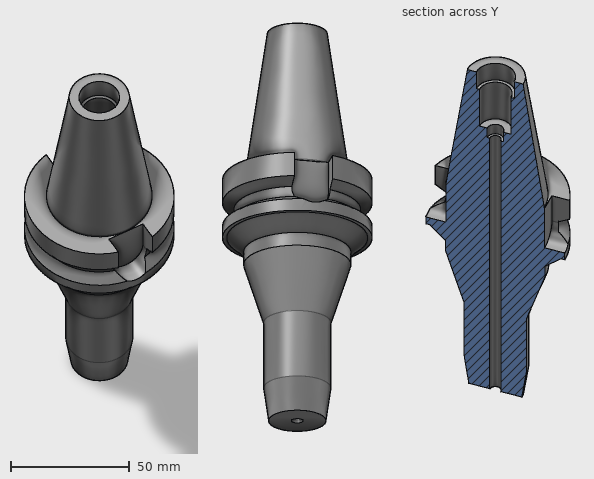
import cadquery as cq

TOTAL_LENGTH = 175.1
NOSE_TAPER_TOP = 14.7
SHANK_TOP = 44.3
CONE_TOP = 70.5
COLLAR_TOP = 76.3
FLANGE_BOTTOM = 82.8
LOWER_RIM_TOP = 88.0
GROOVE_BOTTOM = 91.0
GROOVE_TOP = 95.6
UPPER_RIM_BOTTOM = 98.5
FLANGE_TOP = 109.0
TAPER_BOTTOM = 109.8

NOSE_TIP_DIAMETER = 24.2
SHANK_DIAMETER = 28.4
COLLAR_DIAMETER = 45.2
FLANGE_CONE_DIAMETER = 59.4
FLANGE_DIAMETER = 63
GROOVE_DIAMETER = 53.4
TAPER_BASE_DIAMETER = 44.5
TAPER_TOP_DIAMETER = 25.4

SLOT_WIDTH = 16.5
SLOT_FLOOR_OFFSET = 22.5
SLOT_BOTTOM = 86.8

BORE_STEPS = [(17.0, 9.3), (14.2, 29.8), (7.2, 35.0)]
THROUGH_DIAMETER = 4.9


def make_body():
    """Revolve the outer profile, listed from the nose to the taper end."""
    sections = [
        (NOSE_TIP_DIAMETER, 0),
        (SHANK_DIAMETER, NOSE_TAPER_TOP),
        (SHANK_DIAMETER, SHANK_TOP),
        (COLLAR_DIAMETER, CONE_TOP),
        (COLLAR_DIAMETER, COLLAR_TOP),
        (FLANGE_CONE_DIAMETER, FLANGE_BOTTOM),
        (FLANGE_DIAMETER, FLANGE_BOTTOM),
        (FLANGE_DIAMETER, LOWER_RIM_TOP),
        (GROOVE_DIAMETER, GROOVE_BOTTOM),
        (GROOVE_DIAMETER, GROOVE_TOP),
        (FLANGE_DIAMETER, UPPER_RIM_BOTTOM),
        (FLANGE_DIAMETER, FLANGE_TOP),
        (TAPER_BASE_DIAMETER, FLANGE_TOP),
        (TAPER_BASE_DIAMETER, TAPER_BOTTOM),
        (TAPER_TOP_DIAMETER, TOTAL_LENGTH),
    ]
    outline = [(diameter / 2, height) for diameter, height in sections]
    profile = cq.Workplane("XZ").polyline([(0, 0)] + outline + [(0, TOTAL_LENGTH)]).close()
    return profile.revolve(360, (0, 0), (0, 1))


def make_drive_slot():
    """Round-bottomed slot on the +X side, open at the top and at the rim."""
    half_width = SLOT_WIDTH / 2
    arc_center = SLOT_BOTTOM + half_width
    return (
        cq.Workplane("YZ", origin=(SLOT_FLOOR_OFFSET, 0, 0))
        .moveTo(-half_width, TAPER_BOTTOM)
        .lineTo(-half_width, arc_center)
        .threePointArc((0, SLOT_BOTTOM), (half_width, arc_center))
        .lineTo(half_width, TAPER_BOTTOM)
        .close()
        .extrude(FLANGE_DIAMETER / 2)
    )


def make_bore():
    """Through hole with progressively wider steps toward the taper end."""
    bore = cq.Workplane("XY").circle(THROUGH_DIAMETER / 2).extrude(TOTAL_LENGTH)
    for diameter, depth in BORE_STEPS:
        step = cq.Workplane("XY", origin=(0, 0, TOTAL_LENGTH - depth)).circle(diameter / 2).extrude(depth)
        bore = bore.union(step)
    return bore


drive_slot = make_drive_slot()
opposite_slot = drive_slot.mirror("YZ")
result = make_body().cut(drive_slot).cut(opposite_slot).cut(make_bore())